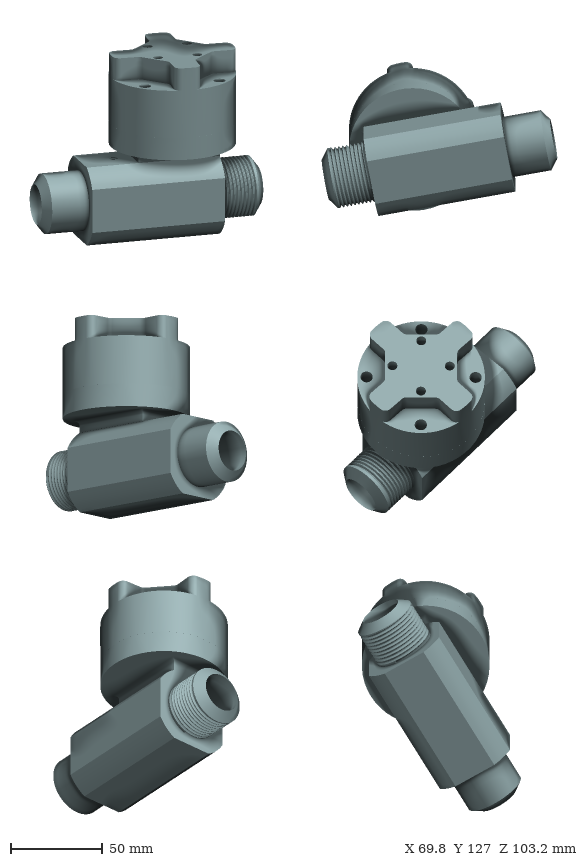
import cadquery as cq
import math

position_tolerance = 0.1

overall_length = 127.0
body_length = 76.2
body_width = 44.5
body_corner_diameter = 50.8
bore_diameter = 22.2

pipe_diameter = 33.4
pipe_length = (overall_length - body_length) / 2
flare_angle = 37.0
flare_length = (pipe_diameter - bore_diameter) / 2 * math.tan(math.radians(flare_angle))

thread_pitch = (pipe_length - flare_length) / 10
thread_depth = 1.1
thread_turns = 9.3
thread_flank_angle = 30.0
thread_root_width = thread_pitch / 4

port_y = -18.8
port_drill_diameter = 4.3
port_thread_depth = 0.57
port_thread_pitch = 1.05
port_thread_turns = 6
port_thread_root_width = port_thread_pitch / 4
port_depth = 7.0
drill_point_angle = 118.0

neck_width = 25.0
neck_height = 6.4
neck_fillet = 2.5
flange_diameter = 69.8
flange_height = 12.7
bonnet_y = 14.9
neck_length = 2 * (body_length / 2 - bonnet_y)

cap_height = 39.6
cross_height = 12.7
cross_turn = -2.6
arm_width = 14.6
web_distance = 19.7
arm_root_fillet = 3.8
arm_tip_fillet = 3.8
inner_hole_diameter = 5.5
inner_hole_spacing = 22.2
outer_hole_diameter = 6.7
outer_hole_spacing = 42.2

body_top = body_width / 2
flange_bottom = body_top + neck_height
cap_bottom = flange_bottom + flange_height


def thread_cutter(surface_radius, depth, pitch, turns, root_width, outward):
    """Helical V groove about Z from z = 0, cut outward into a wall or inward into a shaft."""
    overlap = 0.1
    side = 1 if outward else -1
    flank_slope = math.tan(math.radians(thread_flank_angle))
    root_half = root_width / 2
    mouth_half = root_half + (depth + overlap) * flank_slope
    mouth_radius = surface_radius - side * overlap
    root_radius = surface_radius + side * depth
    helix = cq.Wire.makeHelix(pitch, pitch * turns, surface_radius)
    profile = cq.Workplane("XZ").polyline([
        (mouth_radius, -mouth_half),
        (root_radius, -root_half),
        (root_radius, root_half),
        (mouth_radius, mouth_half),
    ]).close()
    return profile.sweep(cq.Workplane(obj=helix), isFrenet=True)


def pipe_thread_cutter():
    """Groove for the +Y pipe end, starting half a pitch behind the flare on the -X side."""
    groove = thread_cutter(
        pipe_diameter / 2, thread_depth, thread_pitch, thread_turns, thread_root_width, outward=False
    )
    start_y = overall_length / 2 - flare_length - thread_pitch / 2
    return (
        groove.rotate((0, 0, 0), (0, 0, 1), 180)
        .rotate((0, 0, 0), (1, 0, 0), 90)
        .translate((0, start_y, 0))
    )


def port_cutter():
    """Drilled port with a conical bottom and an internal thread."""
    drill_radius = port_drill_diameter / 2
    point_length = drill_radius / math.tan(math.radians(drill_point_angle / 2))
    drill = (
        cq.Workplane("XZ")
        .polyline([
            (0, 0),
            (drill_radius, 0),
            (drill_radius, -port_depth),
            (0, -port_depth - point_length),
        ])
        .close()
        .revolve(360, (0, 0, 0), (0, 1, 0))
    )
    groove = thread_cutter(
        drill_radius, port_thread_depth, port_thread_pitch, port_thread_turns,
        port_thread_root_width, outward=True,
    ).translate((0, 0, -port_thread_pitch * port_thread_turns))
    return drill.union(groove).translate((0, port_y, body_top))


def make_valve_body():
    """Square bar with a flared pipe at each end, bored through, threaded at +Y and ported on top."""
    bar = (
        cq.Workplane("XZ")
        .circle(body_corner_diameter / 2)
        .extrude(body_length / 2, both=True)
        .intersect(cq.Workplane().box(body_width, body_length, body_width))
    )
    half_length = overall_length / 2
    pipe_radius = pipe_diameter / 2
    bore_radius = bore_diameter / 2
    pipe = (
        cq.Workplane("XY")
        .polyline([
            (0, -half_length),
            (bore_radius, -half_length),
            (pipe_radius, -half_length + flare_length),
            (pipe_radius, half_length - flare_length),
            (bore_radius, half_length),
            (0, half_length),
        ])
        .close()
        .revolve(360, (0, 0, 0), (0, 1, 0))
    )
    threaded_pipe = pipe.cut(pipe_thread_cutter())
    bore = cq.Workplane("XZ").circle(bore_radius).extrude(half_length, both=True)
    return bar.union(threaded_pipe).cut(bore).cut(port_cutter())


def make_bonnet():
    """Round flange on a rectangular neck, rounded where they meet."""
    flange = (
        cq.Workplane(origin=(0, bonnet_y, flange_bottom))
        .circle(flange_diameter / 2)
        .extrude(flange_height)
    )
    neck = (
        cq.Workplane(origin=(0, bonnet_y, body_top))
        .rect(neck_width, neck_length)
        .extrude(neck_height)
    )

    def at_neck_root(edge):
        at_flange = abs(edge.Center().z - flange_bottom) < position_tolerance
        return at_flange and edge.geomType() == "LINE"

    return flange.union(neck).edges().filter(at_neck_root).fillet(neck_fillet)


def make_cross():
    """Four arms reaching past the cap rim, with diagonal webs rounded into them."""
    cross = (
        cq.Workplane()
        .rect(2 * web_distance, 2 * web_distance)
        .extrude(cross_height)
        .rotate((0, 0, 0), (0, 0, 1), 45)
    )
    arm_pair = cq.Workplane().rect(2 * flange_diameter, arm_width).extrude(cross_height)
    for turn in (0, 90):
        cross = cross.union(arm_pair.rotate((0, 0, 0), (0, 0, 1), turn))

    def at_arm_root(edge):
        return math.hypot(edge.Center().x, edge.Center().y) < flange_diameter / 2

    return cross.edges("|Z").filter(at_arm_root).fillet(arm_root_fillet)


def square_hole_cutter(spacing, diameter):
    """Four vertical holes on a square, through the whole cap."""
    corners = cq.Workplane().rect(spacing, spacing, forConstruction=True).vertices()
    return corners.circle(diameter / 2).extrude(cap_height)


def make_cap():
    """Disc topped by the cross, with two square patterns of holes."""
    cap_radius = flange_diameter / 2
    cross_floor = cap_height - cross_height
    around_cross = cq.Workplane().circle(flange_diameter).extrude(cross_height).cut(make_cross())
    blank = (
        cq.Workplane()
        .circle(cap_radius)
        .extrude(cap_height)
        .cut(around_cross.translate((0, 0, cross_floor)))
    )

    def at_arm_tip_corner(edge):
        centre = edge.Center()
        on_rim = math.hypot(centre.x, centre.y) > cap_radius - position_tolerance
        off_seam = min(abs(centre.x), abs(centre.y)) > arm_width / 4
        return on_rim and off_seam and centre.z > cross_floor

    cap = (
        blank.edges("|Z")
        .filter(at_arm_tip_corner)
        .fillet(arm_tip_fillet)
        .cut(square_hole_cutter(inner_hole_spacing, inner_hole_diameter))
        .cut(square_hole_cutter(outer_hole_spacing, outer_hole_diameter))
    )
    return cap.rotate((0, 0, 0), (0, 0, 1), cross_turn).translate((0, bonnet_y, cap_bottom))


valve_body = make_valve_body()
bonnet = make_bonnet()
cap = make_cap()

result = cq.Compound.makeCompound([valve_body.val(), bonnet.val(), cap.val()])